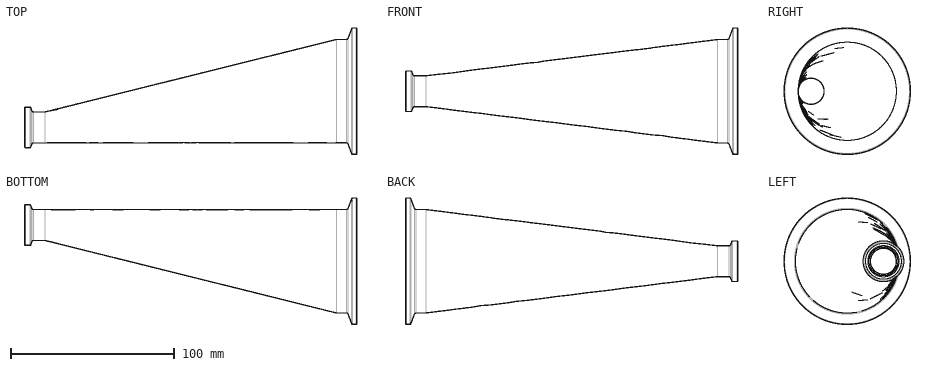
import cadquery as cq


length = 203.2
wall = 1.6

large_tube_dia = 63.5
large_flange_dia = 77.5
large_end_length = 12.5
large_rim = 3.0
large_slope_end = 5.7

small_tube_dia = 19.0
small_flange_dia = 25.0
small_end_length = 12.5
small_rim = 3.7
small_slope_end = 4.7

rim_round = 0.6
neck_round = 1.0

groove_outer_dia = 22.0
groove_inner_dia = 17.7
groove_floor_dia = 19.0
groove_depth = 0.8
groove_bulge = 0.2

small_axis_y = -(large_tube_dia - small_tube_dia) / 2
cone_start = -length / 2 + small_end_length
cone_end = length / 2 - large_end_length


def ferrule(tube_dia, flange_dia, end_length, rim, slope_end):
    """Solid clamp ferrule along +Z, with its sealing face at Z = 0."""
    tube_radius = tube_dia / 2
    flange_radius = flange_dia / 2
    body = (
        cq.Workplane("XZ")
        .lineTo(flange_radius, 0)
        .lineTo(flange_radius, rim)
        .lineTo(tube_radius, slope_end)
        .lineTo(tube_radius, end_length)
        .lineTo(0, end_length)
        .close()
        .revolve(360, (0, 0, 0), (0, 1, 0))
    )
    tube_circles = cq.selectors.RadiusNthSelector(0)
    flange_circles = cq.selectors.RadiusNthSelector(-1)
    body = body.edges(tube_circles).edges("<Z").fillet(neck_round)
    return body.edges(flange_circles).fillet(rim_round)


def place_small(shape):
    """Turn a +Z shape to +X and put it at the small end."""
    return shape.rotate((0, 0, 0), (0, 1, 0), 90).translate((-length / 2, small_axis_y, 0))


def place_large(shape):
    """Turn a +Z shape to -X and put it at the large end."""
    return shape.rotate((0, 0, 0), (0, 1, 0), -90).translate((length / 2, 0, 0))


def cone(small_dia, large_dia):
    """Slanted cone between the two tubes."""
    return (
        cq.Workplane("YZ", origin=(cone_start, 0, 0))
        .center(small_axis_y, 0)
        .circle(small_dia / 2)
        .workplane(offset=cone_end - cone_start)
        .center(-small_axis_y, 0)
        .circle(large_dia / 2)
        .loft(ruled=True)
    )


def bore(tube_dia, end_length):
    """Straight bore through one ferrule."""
    return cq.Workplane("XY").circle(tube_dia / 2 - wall).extrude(end_length)


def gasket_groove():
    """Ring cut into the face at Z = 0: a steep inner wall and a hollowed outer slope."""
    outer_radius = groove_outer_dia / 2
    inner_radius = groove_inner_dia / 2
    floor_radius = groove_floor_dia / 2
    return (
        cq.Workplane("XZ")
        .moveTo(inner_radius, 0)
        .lineTo(floor_radius, groove_depth)
        .sagittaArc((outer_radius, 0), groove_bulge)
        .close()
        .revolve(360, (0, 0, 0), (0, 1, 0))
    )


small_ferrule = ferrule(small_tube_dia, small_flange_dia, small_end_length, small_rim, small_slope_end)
large_ferrule = ferrule(large_tube_dia, large_flange_dia, large_end_length, large_rim, large_slope_end)
outside = (
    place_small(small_ferrule)
    .union(cone(small_tube_dia, large_tube_dia))
    .union(place_large(large_ferrule))
)

inside = (
    place_small(bore(small_tube_dia, small_end_length))
    .union(cone(small_tube_dia - 2 * wall, large_tube_dia - 2 * wall))
    .union(place_large(bore(large_tube_dia, large_end_length)))
)

result = outside.cut(inside).cut(place_small(gasket_groove()))